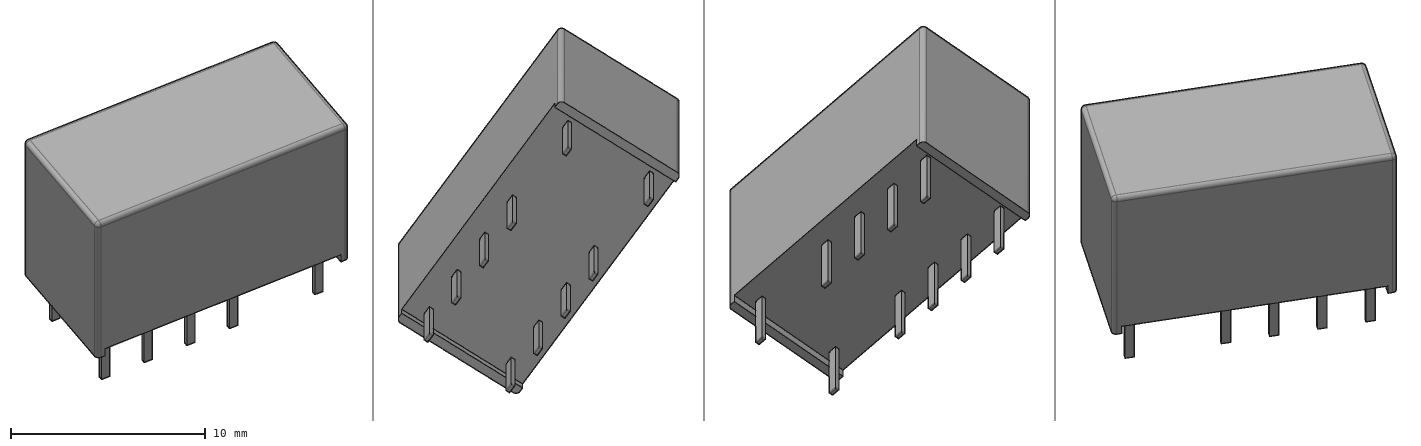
import cadquery as cq

length = 15.0
width = length / 2
housing_height = 9.4
edge_radius = 0.25
foot_length = 0.5
foot_height = 0.5

pin_pitch = 2.54
row_spacing = 2 * pin_pitch
pin_thickness = 0.24
pin_width = 0.5
pin_drop = 2.79
pin_tip_radius = 0.05
pin_steps = [-2.5, -1.5, -0.5, 0.5, 2.5]


def make_housing():
    """Block with rounded top and upright edges, relieved underneath between the feet."""
    block = cq.Workplane("XY").box(width, length, housing_height, centered=(True, True, False))
    block = block.edges("|Z or >Z").fillet(edge_radius)
    relief_length = length - 2 * foot_length
    relief = cq.Workplane("XY").box(width, relief_length, foot_height, centered=(True, True, False))
    return block.cut(relief)


def make_pins():
    """Flat pins with rounded tips, hanging from the relieved underside of the housing."""
    pin_places = [
        (side * row_spacing / 2, step * pin_pitch)
        for side in (-1, 1)
        for step in pin_steps
    ]
    pins = (
        cq.Workplane("XY")
        .workplane(offset=-pin_drop)
        .pushPoints(pin_places)
        .rect(pin_thickness, pin_width)
        .extrude(pin_drop + foot_height)
    )
    return pins.faces("<Z").edges().fillet(pin_tip_radius)


result = make_housing().union(make_pins())